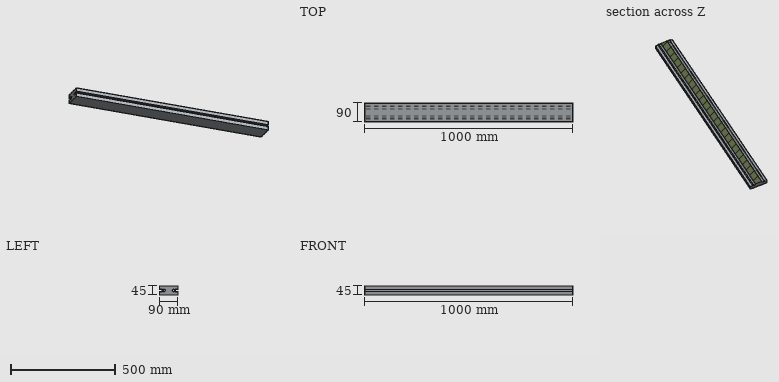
import cadquery as cq

length = 1000.0
width = 90.0
height = 45.0

groove_width = 10.0
groove_depth = 13.0

bore_diameter = 10.0
bore_spacing = width / 2


def side_groove(side):
    """Cutter for the groove on the +Y (side=1) or -Y (side=-1) face."""
    cutter = cq.Workplane("XY").box(length, 2 * groove_depth, groove_width)
    return cutter.translate((0, side * width / 2, 0))


def bore(side):
    """Cutter for the lengthwise bore on one side of the centre plane."""
    return (
        cq.Workplane("YZ")
        .center(side * bore_spacing / 2, 0)
        .circle(bore_diameter / 2)
        .extrude(length / 2, both=True)
    )


result = cq.Workplane("XY").box(length, width, height)
for side in (-1, 1):
    result = result.cut(side_groove(side))
    result = result.cut(bore(side))